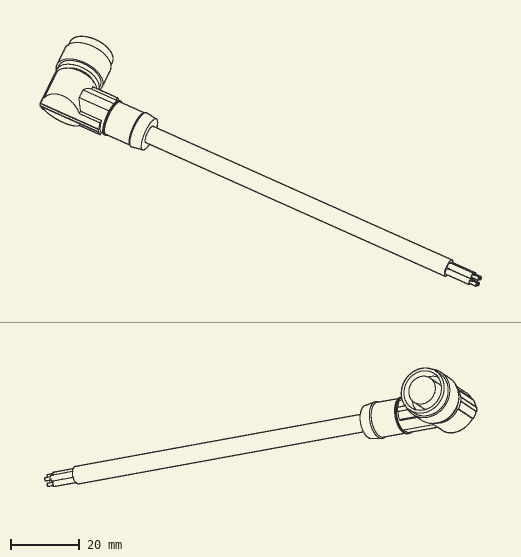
import cadquery as cq
import math


LENGTH = 146.2

HEAD_TILT = 7.5
HEAD_RADIUS = 13.0 / 2
HEAD_TOP = 6.0
NECK_RADIUS = 5.1
COLLAR_RADIUS = 6.7
COLLAR_BOTTOM = 7.3
NUT_RADIUS = 14.8 / 2
NUT_BOTTOM = 8.8
NUT_SHOULDER = 15.2
NUT_RIM_RADIUS = 6.9
NUT_TOP = 18.1
SOCKET_RADIUS = 6.0
SOCKET_DEPTH = 5.8
INSERT_RADIUS = 4.2
INSERT_STANDOUT = 0.5

RIB_RADIUS = 6.0
RIB_HALF_WIDTH = 2.9
STRIP_HEIGHT = 0.1
STRIP_HALF_WIDTH = 0.66
HEAD_RIB_RISE = 0.7
HEAD_SIDE_Y = 4.2
UPPER_RIB_START = 3.7
RIB_END = 13.5

GRIP_RADIUS = 10.4 / 2
GRIP_FLAT_Z = 5.0
GRIP_FLAT_END = 14.5
BEAD_RADIUS = 11.0 / 2
BEAD_WIDTH = 0.5
GRIP_TAPER_START = 23.5
GRIP_END_RADIUS = 5.0
GRIP_END = 27.0

CABLE_RADIUS = 2.6
CABLE_END = 126.9
WIRE_PITCH_RADIUS = 1.3
WIRE_RADIUS = 0.9
WIRE_END = 134.8
CONDUCTOR_RADIUS = 0.51
WIRE_COUNT = 4

tilt_angle = math.radians(HEAD_TILT)
nut_reach = NUT_SHOULDER * math.sin(tilt_angle) + NUT_RADIUS * math.cos(tilt_angle)
TIP_X = LENGTH - nut_reach


def x_cylinder(radius, end, y=0, z=0, start=0):
    """Cylinder along X between two places."""
    return cq.Workplane("YZ", origin=(start, y, z)).circle(radius).extrude(end - start)


def height_on_arc(radius, offset):
    """Height of a circle about the axis at a sideways offset from its top."""
    return math.sqrt(radius**2 - offset**2)


def rib_section(workplane, direction, radius):
    """Rib section from the axis out to a rounded crest, facing along -x or +x of the workplane."""
    edge = direction * height_on_arc(radius, RIB_HALF_WIDTH)
    strip_edge = direction * height_on_arc(radius, STRIP_HALF_WIDTH)
    shoulder_offset = (RIB_HALF_WIDTH + STRIP_HALF_WIDTH) / 2
    shoulder = direction * height_on_arc(radius, shoulder_offset)
    crest_radius = radius + STRIP_HEIGHT
    strip_top = direction * height_on_arc(crest_radius, STRIP_HALF_WIDTH)
    crest = direction * crest_radius
    return (
        workplane.moveTo(0, -RIB_HALF_WIDTH)
        .lineTo(edge, -RIB_HALF_WIDTH)
        .threePointArc((shoulder, -shoulder_offset), (strip_edge, -STRIP_HALF_WIDTH))
        .lineTo(strip_top, -STRIP_HALF_WIDTH)
        .threePointArc((crest, 0), (strip_top, STRIP_HALF_WIDTH))
        .lineTo(strip_edge, STRIP_HALF_WIDTH)
        .threePointArc((shoulder, shoulder_offset), (edge, RIB_HALF_WIDTH))
        .lineTo(0, RIB_HALF_WIDTH)
        .close()
    )


def make_grip():
    outline = [
        (0, 0),
        (0, GRIP_RADIUS),
        (GRIP_FLAT_END, GRIP_RADIUS),
        (GRIP_FLAT_END, BEAD_RADIUS),
        (GRIP_FLAT_END + BEAD_WIDTH, BEAD_RADIUS),
        (GRIP_FLAT_END + BEAD_WIDTH, GRIP_RADIUS),
        (GRIP_TAPER_START - BEAD_WIDTH, GRIP_RADIUS),
        (GRIP_TAPER_START, BEAD_RADIUS),
        (GRIP_END, GRIP_END_RADIUS),
        (GRIP_END, 0),
    ]
    sleeve = cq.Workplane("XY").polyline(outline).close().revolve(360, (0, 0), (1, 0))
    flats_limit = cq.Workplane("XY").box(
        GRIP_FLAT_END, 2 * BEAD_RADIUS, 2 * GRIP_FLAT_Z, centered=(False, True, True)
    )
    plain_end = x_cylinder(BEAD_RADIUS, GRIP_END, start=GRIP_FLAT_END)
    return sleeve.intersect(flats_limit.union(plain_end))


def make_upper_rib():
    """Rib along the +Y face of the grip."""
    workplane = cq.Workplane("YZ", origin=(UPPER_RIB_START, 0, 0))
    return rib_section(workplane, 1, RIB_RADIUS).extrude(RIB_END - UPPER_RIB_START)


def tilt(body):
    """Lean a body built along +Y over onto the head axis."""
    return body.rotate((0, 0, 0), (0, 0, 1), HEAD_TILT)


def make_head():
    """Head barrel with a rib that runs down its -X side and on along the -Y face of the grip."""
    length = HEAD_TOP + 2 * RIB_RADIUS
    top_plane = cq.Workplane("XZ", origin=(0, HEAD_TOP, 0))
    barrel = top_plane.circle(HEAD_RADIUS).extrude(length)
    side_rib = rib_section(top_plane, -1, RIB_RADIUS + HEAD_RIB_RISE).extrude(length)

    blank_plane = cq.Workplane("XZ").center(RIB_END / 2, 0)
    lower_rib_blank = blank_plane.rect(RIB_END, 2 * RIB_HALF_WIDTH).extrude(length)

    reach = 2 * NUT_RADIUS
    edge_y = -height_on_arc(RIB_RADIUS, RIB_HALF_WIDTH)
    slope = (edge_y + HEAD_SIDE_Y) / (RIB_HALF_WIDTH - HEAD_RADIUS)
    far_y = edge_y + slope * (reach - RIB_HALF_WIDTH)
    outline = [
        (reach, -reach),
        (far_y, -reach),
        (edge_y, -RIB_HALF_WIDTH),
        (edge_y, RIB_HALF_WIDTH),
        (far_y, reach),
        (reach, reach),
    ]
    workplane = cq.Workplane("YZ")
    above_slopes = workplane.polyline(outline).close().extrude(reach, both=True)
    rib_space = rib_section(workplane, -1, RIB_RADIUS).extrude(reach, both=True)
    body = tilt(barrel.union(side_rib)).union(lower_rib_blank)
    return body.intersect(above_slopes.union(rib_space))


def make_nut():
    """Neck, coupling nut and contact insert, turned in one profile."""
    socket_floor = NUT_TOP - SOCKET_DEPTH
    insert_top = NUT_TOP + INSERT_STANDOUT
    outline = [
        (0, 0),
        (NECK_RADIUS, 0),
        (NECK_RADIUS, COLLAR_BOTTOM),
        (COLLAR_RADIUS, COLLAR_BOTTOM),
        (COLLAR_RADIUS, NUT_BOTTOM),
        (NUT_RADIUS, NUT_BOTTOM),
        (NUT_RADIUS, NUT_SHOULDER),
        (NUT_RIM_RADIUS, NUT_SHOULDER),
        (NUT_RIM_RADIUS, NUT_TOP),
        (SOCKET_RADIUS, NUT_TOP),
        (SOCKET_RADIUS, socket_floor),
        (INSERT_RADIUS, socket_floor),
        (INSERT_RADIUS, insert_top),
        (0, insert_top),
    ]
    return tilt(cq.Workplane("XY").polyline(outline).close().revolve(360, (0, 0), (0, 1)))


def make_cable():
    cable = x_cylinder(CABLE_RADIUS, CABLE_END)
    for number in range(WIRE_COUNT):
        angle = 2 * math.pi * number / WIRE_COUNT
        y = WIRE_PITCH_RADIUS * math.cos(angle)
        z = WIRE_PITCH_RADIUS * math.sin(angle)
        cable = cable.union(x_cylinder(WIRE_RADIUS, WIRE_END, y, z, start=CABLE_END))
        cable = cable.union(x_cylinder(CONDUCTOR_RADIUS, TIP_X, y, z, start=WIRE_END))
    return cable


grip = make_grip().union(make_upper_rib())
result = make_head().union(grip).union(make_nut()).union(make_cable())